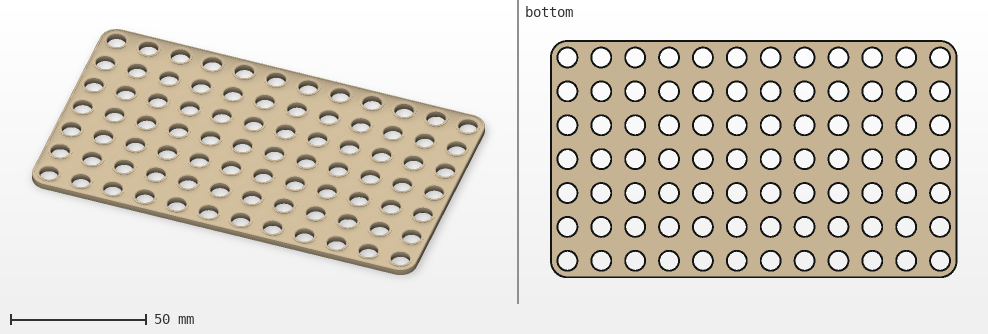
import cadquery as cq

length = 150.0
columns = 12
rows = 7
pitch = length / columns
width = rows * pitch
thickness = 3.2
corner_radius = pitch / 2
chamfer_size = 0.3

bore_diameter = 7.0

hole_rim_diameter = 9.2
outer_rim_width = 0.8
recess_depth = 0.2


def rounded_slab(inset, height):
    """Slab with rounded corners standing on Z = 0, its outline set in from the plate's outline."""
    slab = cq.Workplane("XY").rect(length - 2 * inset, width - 2 * inset).extrude(height)
    return slab.edges("|Z").fillet(corner_radius - inset)


def at_every_cell(workplane):
    """The workplane with one point at the centre of each grid cell."""
    return workplane.rarray(pitch, pitch, columns, rows)


def make_perforated_plate():
    """Plate with a bore in each cell, all its edges chamfered on both faces."""
    bores = at_every_cell(cq.Workplane("XY")).circle(bore_diameter / 2).extrude(thickness)
    plate = rounded_slab(0, thickness).cut(bores)
    return plate.faces("<Z or >Z").edges().chamfer(chamfer_size)


def make_recess():
    """Shallow panel between the outer rim and the hole rims, ending at the top face."""
    panel = rounded_slab(outer_rim_width, recess_depth)
    hole_rims = at_every_cell(cq.Workplane("XY")).circle(hole_rim_diameter / 2).extrude(recess_depth)
    return panel.cut(hole_rims).translate((0, 0, thickness - recess_depth))


result = make_perforated_plate().cut(make_recess())